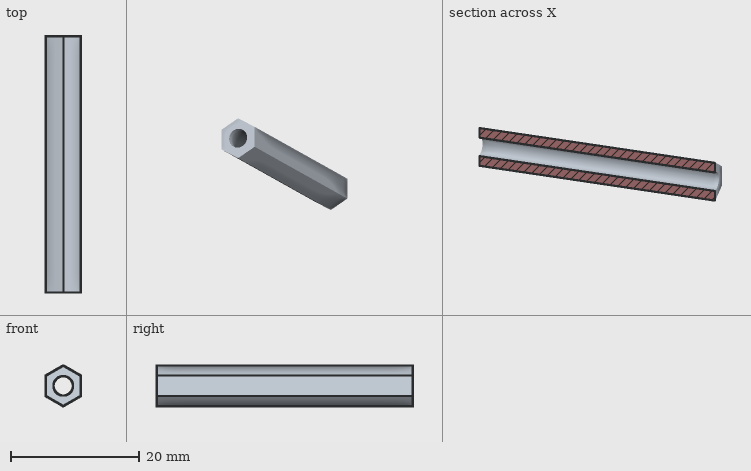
import cadquery as cq
import math

length = 40.0
across_flats = 5.5
bore_diameter = 3.0

across_corners = across_flats / math.cos(math.pi / 6)

hex_bar = (
    cq.Workplane("XZ")
    .transformed(rotate=(0, 0, 90))
    .polygon(6, across_corners)
    .extrude(length / 2, both=True)
)

bore = cq.Workplane("XZ").circle(bore_diameter / 2).extrude(length / 2, both=True)

result = hex_bar.cut(bore)